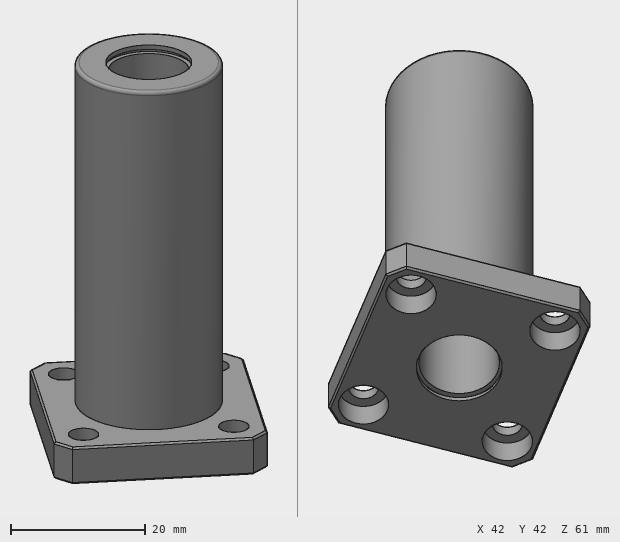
import cadquery as cq

total_height = 61.0
body_diameter = 22.0
flange_width = 41.95
flange_thickness = 6.0
corner_flat = 3.4

flange_chamfer = 0.3
body_fillet = 0.6

bore_diameter = 12.0
mouth_diameter = 12.8
groove_diameter = 13.6
lip_thickness = 0.75
groove_width = 0.5

hole_diameter = 4.5
counterbore_diameter = 7.5
counterbore_depth = 4.1
hole_circle_diameter = 31.95
hole_count = 4


def make_flange():
    """Square plate turned by 45 degrees, with its corners cut off."""
    reach = flange_width / 2
    half_flat = corner_flat / 2
    outline = [
        (reach, -half_flat), (reach, half_flat),
        (half_flat, reach), (-half_flat, reach),
        (-reach, half_flat), (-reach, -half_flat),
        (-half_flat, -reach), (half_flat, -reach),
    ]
    plate = cq.Workplane("XY").polyline(outline).close().extrude(flange_thickness)
    return plate.faces("<Z or >Z").edges().chamfer(flange_chamfer)


def make_body():
    """Cylindrical sleeve with a rounded top rim."""
    sleeve = cq.Workplane("XY").circle(body_diameter / 2).extrude(total_height)
    return sleeve.faces(">Z").edges().fillet(body_fillet)


def make_bore():
    """Through bore, with a wider mouth and an undercut groove behind the lip at each end."""
    bore = cq.Workplane("XY").circle(bore_diameter / 2).extrude(total_height)
    mouth = cq.Workplane("XY").circle(mouth_diameter / 2).extrude(lip_thickness)
    groove = (
        cq.Workplane("XY", origin=(0, 0, lip_thickness))
        .circle(groove_diameter / 2)
        .extrude(groove_width)
    )
    bottom_end = mouth.union(groove)
    top_end = bottom_end.mirror("XY", (0, 0, total_height / 2))
    return bore.union(bottom_end).union(top_end)


def make_cylinders_on_hole_circle(diameter, height):
    """One cylinder at each mounting hole, rising from the bottom face."""
    centres = cq.Workplane("XY").polarArray(hole_circle_diameter / 2, 0, 360, hole_count)
    return centres.circle(diameter / 2).extrude(height)


def make_mounting_holes():
    """Through holes, counterbored from the bottom face."""
    holes = make_cylinders_on_hole_circle(hole_diameter, flange_thickness)
    counterbores = make_cylinders_on_hole_circle(counterbore_diameter, counterbore_depth)
    return holes.union(counterbores)


result = make_flange().union(make_body()).cut(make_bore()).cut(make_mounting_holes())